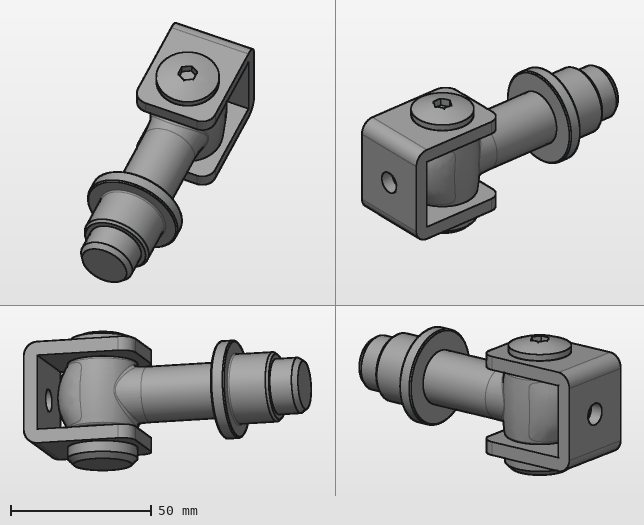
import cadquery as cq
import math


BRACKET_WIDTH = 30.0
BRACKET_BACK_Y = 25.0
BRACKET_FRONT_Y = -15.0
BRACKET_INNER_HEIGHT = 27.0
PLATE_THICKNESS = 5.0
BEND_RADIUS = 5.0
FRONT_CORNER_RADIUS = 5.0
MOUNTING_HOLE_DIAMETER = 8.0
BRACKET_HEIGHT = BRACKET_INNER_HEIGHT + 2 * PLATE_THICKNESS
BRACKET_TOP_Z = BRACKET_HEIGHT / 2

PIVOT_HOLE_DIAMETER = 15.0
BARREL_DIAMETER = 14.8
BARREL_HEAD_DIAMETER = 25.0
BARREL_HEAD_HEIGHT = 6.0
BARREL_HEAD_CHAMFER = 2.1
SCREW_HEAD_DIAMETER = 22.5
SCREW_RIM_HEIGHT = 2.5
SCREW_UNDERSIDE_CHAMFER = 0.2
SCREW_HEAD_HEIGHT = 5.0
HEX_ACROSS_FLATS = 6.0
HEX_DEPTH = 3.0
SCREW_SHANK_DIAMETER = 8.0
SCREW_SHANK_LENGTH = 20.0
SCREW_SHANK_END_Z = BRACKET_TOP_Z - SCREW_SHANK_LENGTH

EYE_HEIGHT = 25.0
EYE_END_RADIUS = 12.5
EYE_MIDDLE_RADIUS = 13.4
EYE_EDGE_FILLET = 0.9
BELLY_RADIUS = 12.5
BELLY_OFFSET = 3.7
SHAFT_DIAMETER = 20.0
SHAFT_END_Y = -75.0
SHAFT_END_CHAMFER_LENGTH = 2.0
SHAFT_END_DIAMETER = 17.3
NECK_START_Y = -17.0
NECK_END_Y = -5.0
NECK_FLARE_RADIUS = 42.0
NECK_FILLET = 1.3

FLANGE_START_Y = -45.0
FLANGE_DIAMETER = 35.0
FLANGE_THICKNESS = 5.0
FLANGE_CHAMFER = 0.5
SLEEVE_DIAMETER = 25.0
SLEEVE_LENGTH = 15.0
SLEEVE_END_CHAMFER_LENGTH = 1.0
SLEEVE_END_CHAMFER_DEPTH = 0.8
SLEEVE_ROOT_FILLET = 0.5


def z_cylinder(diameter, bottom_z, top_z):
    """Cylinder on the pivot axis."""
    return cq.Workplane("XY", origin=(0, 0, bottom_z)).circle(diameter / 2).extrude(top_z - bottom_z)


def y_cylinder(diameter, start_y, length):
    """Cylinder on the shaft axis, running towards -Y from start_y."""
    return cq.Workplane("XZ", origin=(0, start_y, 0)).circle(diameter / 2).extrude(length)


def make_bracket():
    """U-shaped bracket with rounded bends, rounded front corners and bored plates."""
    length = BRACKET_BACK_Y - BRACKET_FRONT_Y
    middle_y = (BRACKET_BACK_Y + BRACKET_FRONT_Y) / 2
    outside = (
        cq.Workplane("XY")
        .box(BRACKET_WIDTH, length, BRACKET_HEIGHT)
        .translate((0, middle_y, 0))
        .edges("|X and >Y")
        .fillet(BEND_RADIUS)
        .edges("|Z and <Y")
        .fillet(FRONT_CORNER_RADIUS)
    )
    gap = (
        cq.Workplane("XY")
        .box(BRACKET_WIDTH, length, BRACKET_INNER_HEIGHT)
        .translate((0, middle_y - PLATE_THICKNESS, 0))
    )
    mounting_hole = y_cylinder(MOUNTING_HOLE_DIAMETER, BRACKET_BACK_Y, PLATE_THICKNESS)
    pivot_hole = z_cylinder(PIVOT_HOLE_DIAMETER, -BRACKET_TOP_Z, BRACKET_TOP_Z)
    return outside.cut(gap).cut(mounting_hole).cut(pivot_hole)


def make_barrel():
    """Pivot barrel with a chamfered head below the bracket and a bore for the screw."""
    head_bottom_z = -BRACKET_TOP_Z - BARREL_HEAD_HEIGHT
    head = (
        z_cylinder(BARREL_HEAD_DIAMETER, head_bottom_z, -BRACKET_TOP_Z)
        .faces("<Z")
        .chamfer(BARREL_HEAD_CHAMFER)
    )
    body = z_cylinder(BARREL_DIAMETER, -BRACKET_TOP_Z, BRACKET_TOP_Z)
    bore = z_cylinder(SCREW_SHANK_DIAMETER, SCREW_SHANK_END_Z, BRACKET_TOP_Z)
    return head.union(body).cut(bore)


def make_screw():
    """Domed screw with a hexagon socket and a shank in the barrel."""
    radius = SCREW_HEAD_DIAMETER / 2
    dome_height = SCREW_HEAD_HEIGHT - SCREW_RIM_HEIGHT
    dome_radius = (radius**2 + dome_height**2) / (2 * dome_height)
    half_angle = math.asin(radius / dome_radius) / 2
    dome_drop = dome_radius * (1 - math.cos(half_angle))
    head = (
        cq.Workplane("XZ")
        .moveTo(0, 0)
        .lineTo(radius - SCREW_UNDERSIDE_CHAMFER, 0)
        .lineTo(radius, SCREW_UNDERSIDE_CHAMFER)
        .lineTo(radius, SCREW_RIM_HEIGHT)
        .threePointArc(
            (dome_radius * math.sin(half_angle), SCREW_HEAD_HEIGHT - dome_drop),
            (0, SCREW_HEAD_HEIGHT),
        )
        .close()
        .revolve(360, (0, 0, 0), (0, 1, 0))
        .translate((0, 0, BRACKET_TOP_Z))
    )
    socket = (
        cq.Workplane("XY", origin=(0, 0, BRACKET_TOP_Z + SCREW_HEAD_HEIGHT - HEX_DEPTH))
        .polygon(6, HEX_ACROSS_FLATS, circumscribed=True)
        .extrude(HEX_DEPTH)
    )
    shank = z_cylinder(SCREW_SHANK_DIAMETER, SCREW_SHANK_END_Z, BRACKET_TOP_Z)
    return head.cut(socket).union(shank)


def make_eye():
    """Barrel-shaped solid on the pivot axis with rounded end edges."""
    half_height = EYE_HEIGHT / 2
    return (
        cq.Workplane("XZ")
        .moveTo(0, -half_height)
        .lineTo(EYE_END_RADIUS, -half_height)
        .threePointArc((EYE_MIDDLE_RADIUS, 0), (EYE_END_RADIUS, half_height))
        .lineTo(0, half_height)
        .close()
        .revolve(360, (0, 0, 0), (0, 1, 0))
        .edges(">Z or <Z")
        .fillet(EYE_EDGE_FILLET)
    )


def make_belly():
    """Bulge on the rear of the eye: equal circles, the middle one shifted towards +Y."""
    half_height = EYE_HEIGHT / 2 - EYE_EDGE_FILLET
    return (
        cq.Workplane("XY", origin=(0, 0, -half_height))
        .circle(BELLY_RADIUS)
        .workplane(offset=half_height)
        .center(0, BELLY_OFFSET)
        .circle(BELLY_RADIUS)
        .workplane(offset=half_height)
        .center(0, -BELLY_OFFSET)
        .circle(BELLY_RADIUS)
        .loft()
    )


def neck_radius(y):
    """Radius of the neck at y, along an arc that leaves the shaft tangentially."""
    distance = y - NECK_START_Y
    arc_rise = NECK_FLARE_RADIUS - math.sqrt(NECK_FLARE_RADIUS**2 - distance**2)
    return SHAFT_DIAMETER / 2 + arc_rise


def make_shaft():
    """Shaft along -Y, tapered at its free end and flared into the eye."""
    neck_middle_y = (NECK_START_Y + NECK_END_Y) / 2
    return (
        cq.Workplane("XY")
        .moveTo(0, SHAFT_END_Y)
        .lineTo(SHAFT_END_DIAMETER / 2, SHAFT_END_Y)
        .lineTo(SHAFT_DIAMETER / 2, SHAFT_END_Y + SHAFT_END_CHAMFER_LENGTH)
        .lineTo(SHAFT_DIAMETER / 2, NECK_START_Y)
        .threePointArc(
            (neck_radius(neck_middle_y), neck_middle_y),
            (neck_radius(NECK_END_Y), NECK_END_Y),
        )
        .lineTo(0, NECK_END_Y)
        .close()
        .revolve(360, (0, 0, 0), (0, 1, 0))
    )


def make_eyebolt():
    """Eye, belly and shaft in one piece, with a filleted neck and the pivot hole."""
    half_height = EYE_HEIGHT / 2
    neck_seam = cq.selectors.BoxSelector(
        (-EYE_MIDDLE_RADIUS, NECK_START_Y, -half_height),
        (EYE_MIDDLE_RADIUS, NECK_END_Y, half_height),
    )
    body = make_eye().union(make_shaft())
    body = body.edges(neck_seam).edges("not %CIRCLE").fillet(NECK_FILLET)
    pivot_hole = z_cylinder(PIVOT_HOLE_DIAMETER, -half_height, half_height)
    return body.union(make_belly()).cut(pivot_hole)


def make_sleeve():
    """Flanged sleeve on the shaft with chamfered rims and a filleted flange root."""
    root_y = FLANGE_START_Y - FLANGE_THICKNESS
    flange = (
        y_cylinder(FLANGE_DIAMETER, FLANGE_START_Y, FLANGE_THICKNESS)
        .edges()
        .chamfer(FLANGE_CHAMFER)
    )
    tube = (
        y_cylinder(SLEEVE_DIAMETER, root_y, SLEEVE_LENGTH)
        .faces("<Y")
        .chamfer(SLEEVE_END_CHAMFER_LENGTH, SLEEVE_END_CHAMFER_DEPTH)
    )
    reach = SLEEVE_DIAMETER / 2 + SLEEVE_ROOT_FILLET
    root_edge = cq.selectors.BoxSelector(
        (-reach, root_y - SLEEVE_ROOT_FILLET, -reach),
        (reach, root_y + SLEEVE_ROOT_FILLET, reach),
        boundingbox=True,
    )
    bore = y_cylinder(SHAFT_DIAMETER, FLANGE_START_Y, FLANGE_THICKNESS + SLEEVE_LENGTH)
    return flange.union(tube).edges(root_edge).fillet(SLEEVE_ROOT_FILLET).cut(bore)


bracket = make_bracket()
barrel = make_barrel()
screw = make_screw()
eyebolt = make_eyebolt()
sleeve = make_sleeve()

result = cq.Compound.makeCompound(
    [bracket.val(), barrel.val(), screw.val(), eyebolt.val(), sleeve.val()]
)